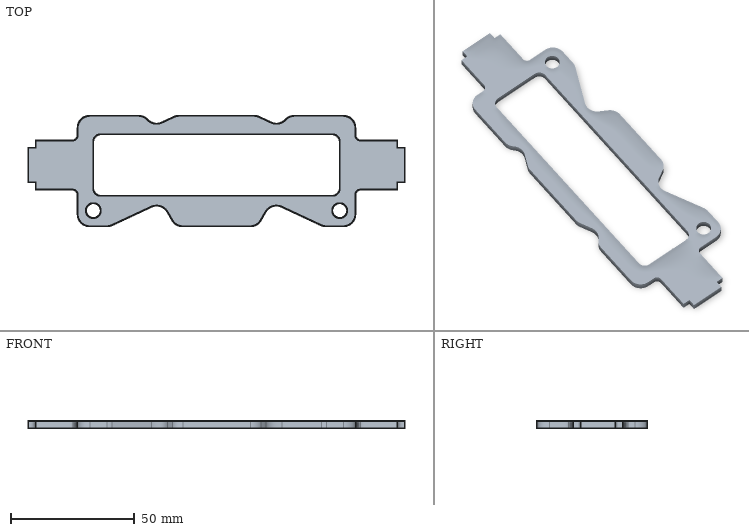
import cadquery as cq
import math

length = 153.0
width = 45.0
thickness = 3.0
axis_y = 2.5

frame_length = 112.9
corner_radius = 5.0

window_length = 100.0
window_width = 25.0
window_radius = 3.0

tab_width = 20.0
tip_width = 14.0
tip_length = 3.0
tab_fillet = 2.0

hole_diameter = 6.0
hole_y = -16.0

notch_x = 24.3
notch_radius = 5.0
top_notch_depth = 3.2
bottom_notch_depth = 8.4
ramp_angle = math.radians(25)
flank_angle = math.radians(60)

half_width = width / 2
shortest_line = 0.002


def on_circle(center, angle):
    """Point of a notch-radius circle at an angle measured from +X."""
    return (
        center[0] + notch_radius * math.cos(angle),
        center[1] + notch_radius * math.sin(angle),
    )


def notch_wall(depth, angle):
    """Points of one notch wall, from the floor arc out to the edge at Y = 0.

    A straight stretch at the given angle joins the concave floor arc, lowest
    at X = 0, to the convex shoulder arc that runs out into the edge.
    """
    floor_center = (0, notch_radius - depth)
    arcs_depth = 2 * notch_radius * (1 - math.cos(angle))
    straight = (depth - arcs_depth) / math.sin(angle)
    run = 2 * notch_radius * math.sin(angle) + straight * math.cos(angle)
    shoulder_center = (run, -notch_radius)
    return {
        "floor_end": on_circle(floor_center, angle - math.pi / 2),
        "shoulder_start": on_circle(shoulder_center, math.pi / 2 + angle),
        "shoulder_middle": on_circle(shoulder_center, math.pi / 2 + angle / 2),
        "shoulder_end": (run, 0),
        "straight": straight,
    }


def notch_cutter(side, depth, steep_angle, steep_direction):
    """Notch on the +X half with a shallow ramp on one side and a steep wall on the other.

    side is +1 for the top edge and -1 for the bottom edge; steep_direction is
    the X direction in which the steep wall lies.
    """
    ramp = notch_wall(depth, ramp_angle)
    steep = notch_wall(depth, steep_angle)

    def place(x, y):
        return (notch_x + steep_direction * x, side * (half_width + y))

    def on_ramp(name):
        x, y = ramp[name]
        return place(-x, y)

    def on_steep(name):
        return place(*steep[name])

    outline = (
        cq.Workplane("XY")
        .moveTo(*on_ramp("shoulder_end"))
        .threePointArc(on_ramp("shoulder_middle"), on_ramp("shoulder_start"))
        .lineTo(*on_ramp("floor_end"))
        .threePointArc(place(0, -depth), on_steep("floor_end"))
    )
    if steep["straight"] > shortest_line:
        outline = outline.lineTo(*on_steep("shoulder_start"))
    outline = outline.threePointArc(on_steep("shoulder_middle"), on_steep("shoulder_end"))
    return outline.close().extrude(thickness)


def block(size_x, size_y, center_y):
    """Full-thickness block centred on X = 0 and standing on Z = 0."""
    return cq.Workplane("XY").center(0, center_y).rect(size_x, size_y).extrude(thickness)


plate = block(frame_length, width, 0).edges("|Z").fillet(corner_radius)

plate = plate.union(block(length - 2 * tip_length, tab_width, axis_y))
plate = plate.union(block(length, tip_width, axis_y))
for end in (-1, 1):
    root_x = end * frame_length / 2
    tab_roots = cq.selectors.BoxSelector(
        (root_x - tab_fillet, axis_y - tab_width / 2 - tab_fillet, 0),
        (root_x + tab_fillet, axis_y + tab_width / 2 + tab_fillet, thickness),
    )
    plate = plate.edges("|Z").edges(tab_roots).fillet(tab_fillet)

plate = plate.cut(block(window_length, window_width, axis_y).edges("|Z").fillet(window_radius))

hole_points = [(side * window_length / 2, hole_y) for side in (-1, 1)]
plate = plate.cut(
    cq.Workplane("XY").pushPoints(hole_points).circle(hole_diameter / 2).extrude(thickness)
)

arc_to_arc_angle = math.acos(1 - top_notch_depth / (2 * notch_radius))
top_notch = notch_cutter(1, top_notch_depth, arc_to_arc_angle, 1)
bottom_notch = notch_cutter(-1, bottom_notch_depth, flank_angle, -1)
for notch in (top_notch, bottom_notch):
    plate = plate.cut(notch).cut(notch.mirror("YZ"))

result = plate